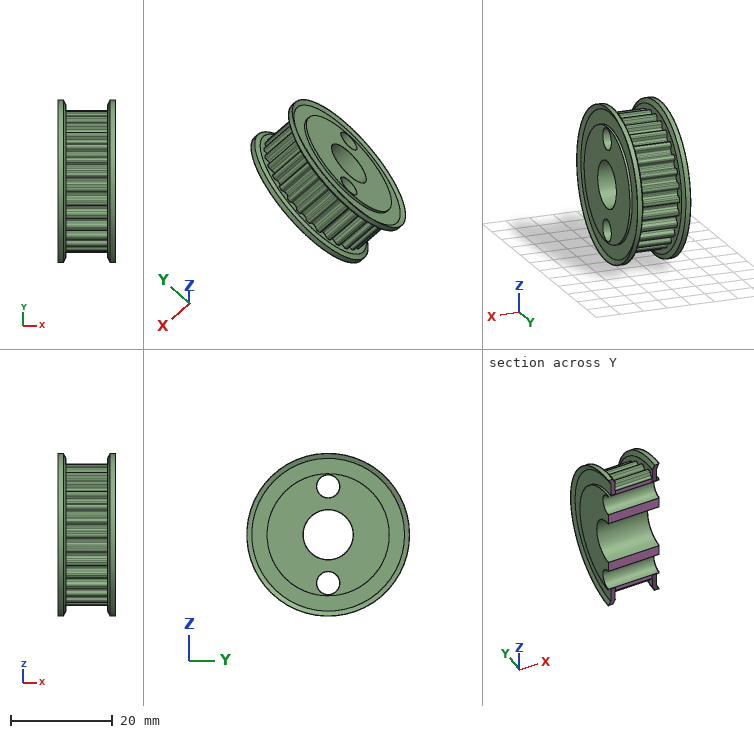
import cadquery as cq
import math


tooth_count = 30
groove_depth = 1.14
groove_floor_width = 0.96
groove_flank_angle = 24.0
root_fillet = 0.5
tip_fillet = 0.3
cutter_overshoot = 1.0
tooth_angle = 360.0 / tooth_count
tip_radius = 13.93
root_radius = tip_radius - groove_depth

toothed_length = 8.2
flange_thickness = 1.05
flange_dish = 0.5
overall_length = toothed_length + 2 * (flange_thickness + flange_dish)

flange_radius = 16.0
flange_flat_radius = 15.0
spigot_radius = 12.0

bore_diameter = 9.8
side_hole_diameter = 4.5
side_hole_offset = 9.5


def centred_cylinder(radius, length):
    """Solid cylinder along X, centred on the origin."""
    return cq.Workplane("YZ", origin=(-length / 2, 0, 0)).circle(radius).extrude(length)


def make_groove():
    """Cutter for the tooth gap centred on +Z, with rounded root corners."""
    cutter_height = groove_depth + cutter_overshoot
    floor_half = groove_floor_width / 2
    mouth_half = floor_half + cutter_height * math.tan(math.radians(groove_flank_angle))
    mouth_level = root_radius + cutter_height
    outline = [
        (-floor_half, root_radius),
        (floor_half, root_radius),
        (mouth_half, mouth_level),
        (-mouth_half, mouth_level),
    ]
    return (
        cq.Workplane("YZ", origin=(-toothed_length / 2, 0, 0))
        .polyline(outline)
        .close()
        .extrude(toothed_length)
        .edges("|X and <Z")
        .fillet(root_fillet)
    )


def make_toothed_ring():
    """The belt track: a disc cut by evenly spaced grooves, with rounded tooth tips."""
    ring = centred_cylinder(tip_radius, toothed_length)
    groove = make_groove()
    for index in range(tooth_count):
        ring = ring.cut(groove.rotate((0, 0, 0), (1, 0, 0), index * tooth_angle))
    mid_depth_radius = (root_radius + tip_radius) / 2

    def is_tip_edge(edge):
        middle = edge.Center()
        return math.hypot(middle.y, middle.z) > mid_depth_radius

    tip_edges = [edge for edge in ring.edges("|X").vals() if is_tip_edge(edge)]
    return ring.newObject(tip_edges).fillet(tip_fillet)


def make_pulley_body():
    """Toothed ring with a spigot at each end, a bore and two side holes."""
    spigots = centred_cylinder(spigot_radius, overall_length)
    bore = centred_cylinder(bore_diameter / 2, overall_length)
    body = make_toothed_ring().union(spigots).cut(bore)
    for offset in (side_hole_offset, -side_hole_offset):
        side_hole = centred_cylinder(side_hole_diameter / 2, overall_length)
        body = body.cut(side_hole.translate((0, 0, offset)))
    return body


def make_flange(side):
    """Dished ring on the spigot at the +X end (side = 1) or the -X end (side = -1)."""
    inner_face = side * toothed_length / 2
    outer_face = inner_face + side * flange_thickness
    bend = side * flange_dish
    section = [
        (inner_face, spigot_radius),
        (inner_face, flange_flat_radius),
        (inner_face + bend, flange_radius),
        (outer_face + bend, flange_radius),
        (outer_face, flange_flat_radius),
        (outer_face, spigot_radius),
    ]
    return cq.Workplane("XY").polyline(section).close().revolve(360, (0, 0, 0), (1, 0, 0))


pulley_body = make_pulley_body()
flanges = [make_flange(side) for side in (-1, 1)]

result = cq.Compound.makeCompound([pulley_body.val(), *[flange.val() for flange in flanges]])